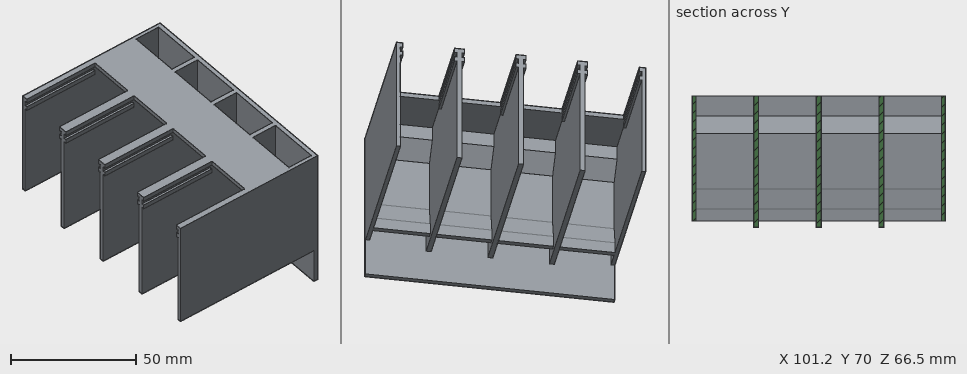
import cadquery as cq

width = 101.2
depth = 70.0
height = 66.5

bay_count = 4
side_wall = 1.6
divider = 2.0
back_wall = 2.0
side_wall_height = 50.0
divider_height = 52.5
bay_width = (width - 2 * side_wall - (bay_count - 1) * divider) / bay_count
bay_pitch = bay_width + divider
back_inside = depth - back_wall

plate_thickness = 2.0
plate_front = 34.8
rail_width = 1.0
rail_height = 2.0
groove_height = 2.0
rail_drop = plate_thickness + groove_height

hopper_mouth = 11.4
chute_throat = 5.1
chute_wall = 2.0
funnel_start_drop = 8.0
funnel_end_drop = 15.0
flare_start_drop = 37.2
flare_end_drop = 45.2
flare_run = 1.8
mouth_y = back_inside - hopper_mouth
throat_y = back_inside - chute_throat
flare_y = throat_y - flare_run


def box(x, y, drop, size_x, size_y, size_z):
    """Box from its left, front and top faces; drop is the distance below the part's top."""
    bottom = height - drop - size_z
    return cq.Workplane("XY").box(size_x, size_y, size_z, centered=False).translate((x, y, bottom))


def chute_front_wall():
    """Bent wall that narrows the hopper to the throat and flares forward again near the bottom."""
    bends = [
        (mouth_y, 0),
        (mouth_y, funnel_start_drop),
        (throat_y, funnel_end_drop),
        (throat_y, flare_start_drop),
        (flare_y, flare_end_drop),
        (flare_y, side_wall_height),
    ]
    rear = [(y, height - drop) for y, drop in bends]
    front = [(y - chute_wall, z) for y, z in reversed(rear)]
    return cq.Workplane("YZ").polyline(rear + front).close().extrude(width)


result = box(0, back_inside, 0, width, back_wall, height)
result = result.union(chute_front_wall())
result = result.union(box(0, plate_front, 0, width, mouth_y - plate_front, plate_thickness))

for x in (0, width - side_wall):
    result = result.union(box(x, 0, 0, side_wall, depth, side_wall_height))

for i in range(1, bay_count):
    divider_left = side_wall + i * bay_pitch - divider
    result = result.union(box(divider_left, 0, 0, divider, depth, divider_height))

for i in range(bay_count):
    bay_left = side_wall + i * bay_pitch
    for x in (bay_left, bay_left + bay_width - rail_width):
        result = result.union(box(x, 0, 0, rail_width, plate_front, plate_thickness))
        result = result.union(box(x, 0, rail_drop, rail_width, plate_front, rail_height))